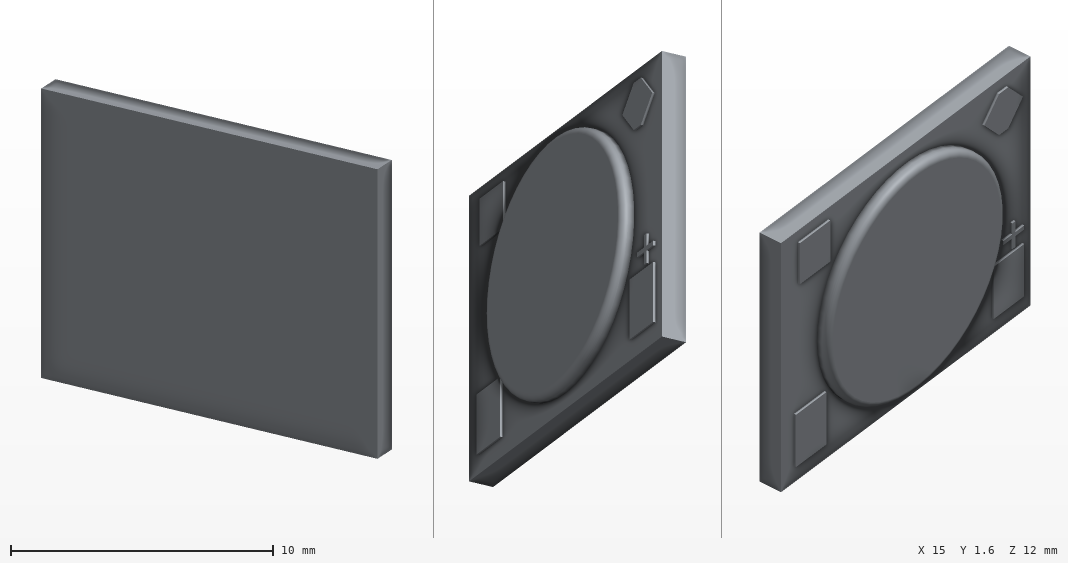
import cadquery as cq

board_width = 15.0
board_height = 12.0
board_thickness = 1.05

total_depth = 1.6
disc_diameter = 10.7
disc_height = total_depth - board_thickness
disc_edge_radius = 0.28

pad_thickness = 0.1
pad_width = 1.83
side_margin = 0.5
right_margin = 0.78
upper_right_margin = 1.0
lower_pad_height = 2.52
lower_pad_bottom = 0.8

hexagon_width = 2.32
hexagon_flat = 0.55
hexagon_height = 1.98
hexagon_left = 0.57
upper_pad_center = 10.45

cross_size = 1.25
cross_arm = 0.2
cross_center = 4.11

left_edge = -board_width / 2
right_edge = board_width / 2
lower_edge = -board_height / 2


def back_face():
    """Sketch plane on the back of the board: local x is X, local y is Z, negative extrusion is +Y."""
    return cq.Workplane("XZ", origin=(0, board_thickness, 0))


def rectangular_pad(left, center_z, height):
    """Flat pad with its left side at X = left."""
    return (
        back_face()
        .center(left + pad_width / 2, center_z)
        .rect(pad_width, height)
        .extrude(-pad_thickness)
    )


def make_board():
    return cq.Workplane("XZ").rect(board_width, board_height).extrude(-board_thickness)


def make_disc():
    disc = back_face().circle(disc_diameter / 2).extrude(-disc_height)
    return disc.faces(">Y").edges().fillet(disc_edge_radius)


def make_hexagon_pad():
    point_x = hexagon_width / 2
    flat_x = hexagon_flat / 2
    top_z = hexagon_height / 2
    outline = [
        (-point_x, 0),
        (-flat_x, top_z),
        (flat_x, top_z),
        (point_x, 0),
        (flat_x, -top_z),
        (-flat_x, -top_z),
    ]
    return (
        back_face()
        .center(left_edge + hexagon_left + point_x, lower_edge + upper_pad_center)
        .polyline(outline)
        .close()
        .extrude(-pad_thickness)
    )


def make_cross_pad():
    plane = back_face().center(left_edge + side_margin + cross_size / 2, lower_edge + cross_center)
    level_bar = plane.rect(cross_size, cross_arm).extrude(-pad_thickness)
    upright_bar = plane.rect(cross_arm, cross_size).extrude(-pad_thickness)
    return level_bar.union(upright_bar)


board = make_board()
disc = make_disc()
hexagon_pad = make_hexagon_pad()
cross_pad = make_cross_pad()

lower_pad_z = lower_edge + lower_pad_bottom + lower_pad_height / 2
upper_pad_z = lower_edge + upper_pad_center
rectangular_pads = [
    rectangular_pad(left, center_z, height).val()
    for left, center_z, height in [
        (left_edge + side_margin, lower_pad_z, lower_pad_height),
        (right_edge - right_margin - pad_width, lower_pad_z, lower_pad_height),
        (right_edge - upper_right_margin - pad_width, upper_pad_z, hexagon_height),
    ]
]

result = cq.Compound.makeCompound(
    [board.val(), disc.val(), hexagon_pad.val(), cross_pad.val(), *rectangular_pads]
)